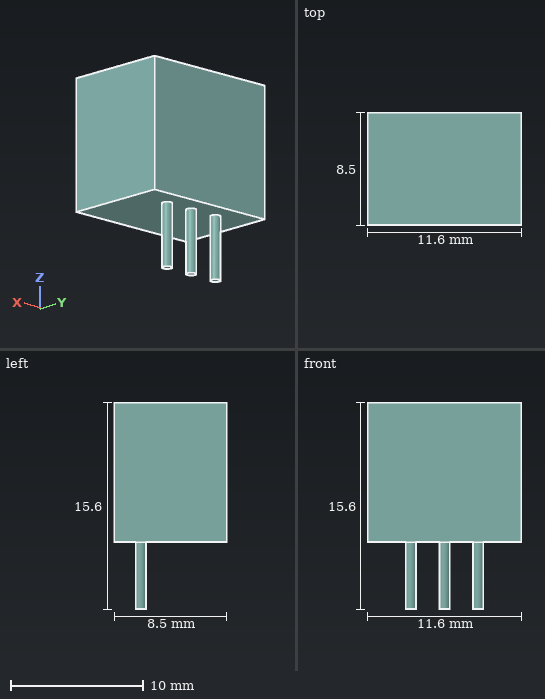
import cadquery as cq

housing_width = 11.6
housing_depth = 8.5
overall_height = 15.6

pin_diameter = 0.8
pin_length = 5.07
pin_count = 3
pin_pitch = 2.55
pin_row_y = 2.25

housing_height = overall_height - pin_length


def make_housing():
    """Plain block standing on the XY plane, centred on the Z axis."""
    return cq.Workplane("XY").box(
        housing_width, housing_depth, housing_height, centered=(True, True, False)
    )


def make_pin(x):
    """Straight pin hanging from the underside of the housing."""
    return cq.Workplane("XY").center(x, pin_row_y).circle(pin_diameter / 2).extrude(-pin_length)


housing = make_housing()

first_pin_x = -pin_pitch * (pin_count - 1) / 2
pins = []
for index in range(pin_count):
    pin = make_pin(first_pin_x + index * pin_pitch)
    pins.append(pin.val())

result = cq.Compound.makeCompound([housing.val(), *pins])